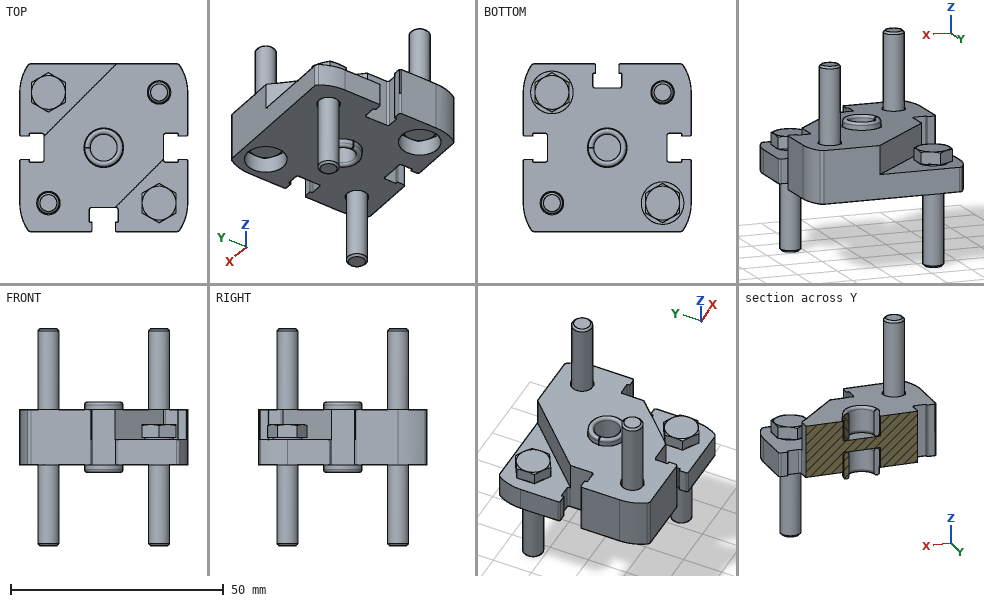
import cadquery as cq
import math

block_width = 39.5
block_height = 13.0
flank_radius = 11.5
flank_start = 6.75
corner_radius = 1.0

slot_mouth_width = 5.4
slot_inner_width = 6.75
slot_lip = 2.3
slot_depth = 5.7
slot_mouth_radius = 0.45
slot_inner_radius = 0.5
slot_step_radius = 0.15

bolt_offset = 13.0
bolt_diameter = 5.0
bolt_chamfer = 0.5
bolt_reach = 25.5
bolt_hole_diameter = 5.5
washer_diameter = 6.9
washer_thickness = 0.45
head_flats = 8.0
head_top_diameter = 7.95
head_height = 3.5
head_chamfer_angle = 20.0
shelf_thickness = 5.95
shelf_edge_distance = 11.85
shelf_direction = -45.0
counterbore_diameter = 10.0

sleeve_diameter = 9.0
sleeve_wall = 1.35
sleeve_projection = 1.8
sleeve_slit = 0.2
sleeve_hole_diameter = 9.3
sleeve_hole_depth = 5.0

half_width = block_width / 2
half_height = block_height / 2
slot_floor = half_width - slot_depth
shelf_z = shelf_thickness - half_height
bolt_length = bolt_reach + shelf_z

shelf_bolt_places = [(-bolt_offset, bolt_offset), (bolt_offset, -bolt_offset)]
buried_bolt_places = [(-bolt_offset, -bolt_offset), (bolt_offset, bolt_offset)]


def block_outline():
    """Square prism whose four corners are eased by a large arc and a small tangent arc."""
    arc_y = half_width - flank_start
    arc_x = half_width - flank_radius
    blend_y = half_width - corner_radius
    centre_gap = flank_radius - corner_radius
    blend_x = arc_x + math.sqrt(centre_gap**2 - (blend_y - arc_y) ** 2)
    tangent_angle = math.atan2(blend_y - arc_y, blend_x - arc_x)

    def on_arc(centre_x, centre_y, radius, angle):
        return (centre_x + radius * math.cos(angle), centre_y + radius * math.sin(angle))

    tangent = on_arc(arc_x, arc_y, flank_radius, tangent_angle)
    flank_middle = on_arc(arc_x, arc_y, flank_radius, tangent_angle / 2)
    blend_middle = on_arc(blend_x, blend_y, corner_radius, (tangent_angle + math.pi / 2) / 2)
    quarter = (
        cq.Workplane("XY", origin=(0, 0, -half_height))
        .lineTo(half_width, 0)
        .lineTo(half_width, arc_y)
        .threePointArc(flank_middle, tangent)
        .threePointArc(blend_middle, (blend_x, half_width))
        .lineTo(0, half_width)
        .close()
        .extrude(block_height)
    )
    half = quarter.union(quarter.mirror("YZ"))
    return half.union(half.mirror("XZ")).clean()


def t_slot():
    """Cutter for the slot in the +X face, rounded at its floor and at the step behind the lip."""
    inner_length = slot_depth - slot_lip
    mouth = cq.Workplane("XY").box(slot_depth, slot_mouth_width, block_height)
    pocket = cq.Workplane("XY").box(inner_length, slot_inner_width, block_height)
    slot = mouth.translate((half_width - slot_depth / 2, 0, 0)).union(
        pocket.translate((slot_floor + inner_length / 2, 0, 0))
    )
    slot = slot.edges("|Z and <X").fillet(slot_inner_radius)
    step_x = half_width - slot_lip
    step_edges = cq.selectors.BoxSelector(
        (step_x - slot_step_radius, -slot_inner_width, -block_height),
        (step_x + slot_step_radius, slot_inner_width, block_height),
    )
    return slot.edges("|Z").edges(step_edges).fillet(slot_step_radius)


def shelf_recess():
    """Cutter that lowers the (+X, -Y) corner to the shelf, along a diagonal plane."""
    return (
        cq.Workplane("XY")
        .box(block_width, 2 * block_width, block_height, centered=(False, True, False))
        .translate((shelf_edge_distance, 0, shelf_z))
        .rotate((0, 0, 0), (0, 0, 1), shelf_direction)
    )


def mouth_edges():
    """Selector for the two outer vertical edges of each slot mouth."""
    mouth_edge = slot_mouth_width / 2
    selector = cq.selectors.NearestToPointSelector((-mouth_edge, -half_width, 0))
    selector += cq.selectors.NearestToPointSelector((mouth_edge, -half_width, 0))
    for x in (-half_width, half_width):
        for y in (-mouth_edge, mouth_edge):
            selector += cq.selectors.NearestToPointSelector((x, y, 0))
    return selector


def make_block():
    block = block_outline()
    for angle in (0, 180, 270):
        block = block.cut(t_slot().rotate((0, 0, 0), (0, 0, 1), angle))
    block = block.edges(mouth_edges()).fillet(slot_mouth_radius)
    for angle in (0, 180):
        block = block.cut(shelf_recess().rotate((0, 0, 0), (0, 0, 1), angle))

    bolt_holes = (
        cq.Workplane("XY", origin=(0, 0, -half_height))
        .pushPoints(shelf_bolt_places + buried_bolt_places)
        .circle(bolt_hole_diameter / 2)
        .extrude(block_height)
    )
    counterbores = (
        cq.Workplane("XY", origin=(0, 0, -half_height))
        .pushPoints(buried_bolt_places)
        .circle(counterbore_diameter / 2)
        .extrude(block_height - shelf_thickness)
    )
    sleeve_hole = (
        cq.Workplane("XY", origin=(0, 0, half_height - sleeve_hole_depth))
        .circle(sleeve_hole_diameter / 2)
        .extrude(sleeve_hole_depth)
    )
    return block.cut(bolt_holes).cut(counterbores).cut(sleeve_hole).cut(sleeve_hole.mirror("XY"))


def make_bolt():
    """Hexagon bolt with its bearing face at z = 0, shank down and head up."""
    shank = (
        cq.Workplane("XY")
        .circle(bolt_diameter / 2)
        .extrude(-bolt_length)
        .faces("<Z")
        .chamfer(bolt_chamfer)
    )
    washer_face = cq.Workplane("XY").circle(washer_diameter / 2).extrude(washer_thickness)
    across_corners = head_flats / math.cos(math.pi / 6)
    hexagon = (
        cq.Workplane("XY", origin=(0, 0, washer_thickness))
        .polygon(6, across_corners)
        .extrude(head_height - washer_thickness)
        .rotate((0, 0, 0), (0, 0, 1), 30)
    )
    top_radius = head_top_diameter / 2
    cone_run = head_height / math.tan(math.radians(head_chamfer_angle))
    trimming_cone = (
        cq.Workplane("XZ")
        .lineTo(top_radius + cone_run, 0)
        .lineTo(top_radius, head_height)
        .lineTo(0, head_height)
        .close()
        .revolve(360, (0, 0, 0), (0, 1, 0))
    )
    return shank.union(washer_face).union(hexagon.intersect(trimming_cone))


def make_sleeve():
    """Rolled sleeve with rounded ends, standing on z = 0 and slit along its -X side."""
    length = sleeve_hole_depth + sleeve_projection
    middle_radius = (sleeve_diameter - sleeve_wall) / 2
    tube = (
        cq.Workplane("XZ")
        .center(-middle_radius, length / 2)
        .slot2D(length, sleeve_wall, 90)
        .revolve(360, (middle_radius, 0, 0), (middle_radius, 1, 0))
    )
    slit = cq.Workplane("XY").box(
        sleeve_diameter, sleeve_slit, length, centered=(False, True, False)
    )
    return tube.cut(slit.translate((-sleeve_diameter, 0, 0)))


block = make_block()

bolts = []
for x, y in shelf_bolt_places:
    bolts.append(make_bolt().translate((x, y, shelf_z)))
for x, y in buried_bolt_places:
    bolts.append(make_bolt().mirror("XY").translate((x, y, -shelf_z)))

upper_sleeve = make_sleeve().translate((0, 0, half_height - sleeve_hole_depth))
sleeves = [upper_sleeve, upper_sleeve.mirror("XY")]

result = cq.Compound.makeCompound(
    [block.val(), *[bolt.val() for bolt in bolts], *[sleeve.val() for sleeve in sleeves]]
)